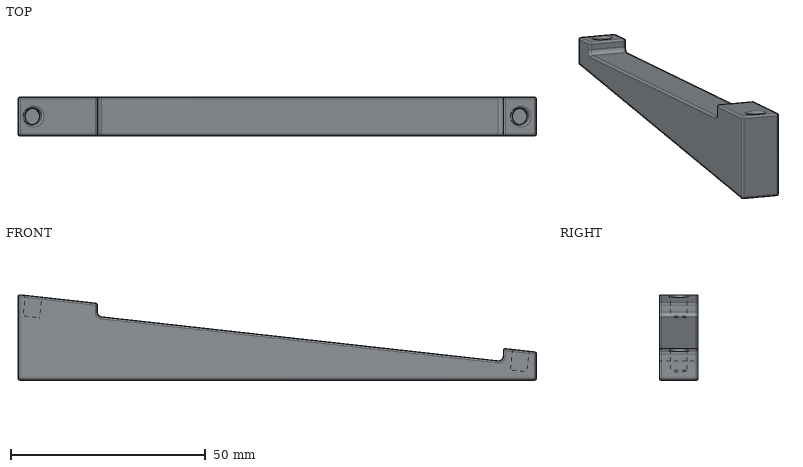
import cadquery as cq
import math

length = 133.2
width = 10.0
height = 22.0

end_height = 7.2
slope = math.atan2(height - end_height, length)
recess_depth = 3.3
left_pad_length = 20.4
right_pad_length = 8.5

corner_radius = 1.2
edge_radius = 0.5

hole_diameter = 4.3
rim_radius = 0.5
hole_depth = 5.3
hole_end_distance = 4.0

sharp_height = height - edge_radius + edge_radius * (math.tan(slope) + 1 / math.cos(slope))


def pad_point(x):
    """Point (x, z) on the pad plane at distance x from the tall end."""
    return (x, sharp_height - x * math.tan(slope))


def floor_point(x):
    """Point (x, z) on the recess floor at distance x from the tall end."""
    return (x, pad_point(x)[1] - recess_depth / math.cos(slope))


def make_body():
    """Wedge with an upright-walled recess between its two end pads and all edges rounded."""
    recess_start = left_pad_length
    recess_end = length - right_pad_length
    recess_corners = [floor_point(recess_end), floor_point(recess_start)]
    outline = [
        (0, 0),
        (length, 0),
        pad_point(length),
        pad_point(recess_end),
        *recess_corners,
        pad_point(recess_start),
        pad_point(0),
    ]
    body = cq.Workplane("XZ").polyline(outline).close().extrude(width / 2, both=True)
    for x, z in recess_corners:
        corner = cq.selectors.NearestToPointSelector((x, 0, z))
        body = body.edges("|Y").edges(corner).fillet(corner_radius)
    pad_edges = cq.Workplane("XY")
    for x, z in (pad_point(recess_start), pad_point(recess_end)):
        pad_edge = cq.selectors.NearestToPointSelector((x, 0, z))
        pad_edges = pad_edges.add(body.edges(pad_edge))
    outer_edges = body.faces("<Y or >Y or <X or >X").edges().add(pad_edges)
    return outer_edges.fillet(edge_radius)


def make_hole(x):
    """Cutter for one blind hole whose mouth flares out in a quarter round."""
    radius = hole_diameter / 2
    mouth_radius = radius + rim_radius
    arc_offset = rim_radius * (1 - math.sqrt(0.5))
    half_section = (
        cq.Workplane("XZ")
        .moveTo(0, -hole_depth)
        .lineTo(radius, -hole_depth)
        .lineTo(radius, -rim_radius)
        .threePointArc((radius + arc_offset, -arc_offset), (mouth_radius, 0))
        .lineTo(0, 0)
        .close()
    )
    cutter = half_section.revolve(360, (0, 0, 0), (0, 1, 0))
    cutter = cutter.rotate((0, 0, 0), (0, 1, 0), math.degrees(slope))
    pad_x, pad_z = pad_point(x)
    return cutter.translate((pad_x, 0, pad_z))


result = make_body()
for hole_x in (hole_end_distance, length - hole_end_distance):
    result = result.cut(make_hole(hole_x))